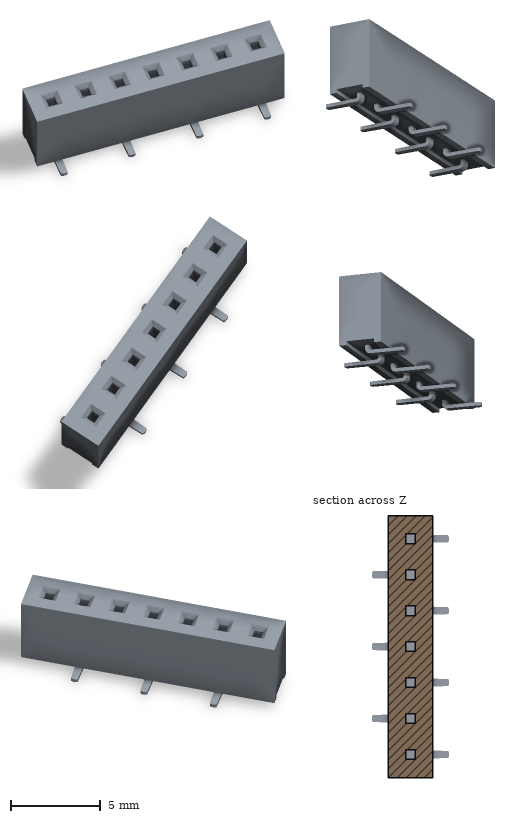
import cadquery as cq

LENGTH = 14.6
BODY_WIDTH = 2.5
TOP_Z = 4.3
BODY_BOTTOM_Z = 0.29
CHANNEL_WIDTH = 1.65
CHANNEL_DEPTH = 0.22
CHANNEL_ROOF_Z = BODY_BOTTOM_Z + CHANNEL_DEPTH

CONTACT_COUNT = 7
PITCH = 2.0

MOUTH_SIZE = 1.0
SOCKET_SIZE = 0.51
FUNNEL_DEPTH = (MOUTH_SIZE - SOCKET_SIZE) / 2
SOCKET_DEPTH = 2.92
SOCKET_FLOOR_Z = TOP_Z - SOCKET_DEPTH

TAIL_SPAN = 4.3
THICKNESS = 0.2
INNER_BEND = 0.09
OUTER_BEND = INNER_BEND + THICKNESS
STEM_WIDTH = 0.44
STEM_PROTRUSION = 0.15
STEM_TOP_Z = SOCKET_FLOOR_Z + STEM_PROTRUSION
TAIL_ROOT_WIDTH = 0.5
TAIL_TIP_WIDTH = 0.4
TIP_BULGE = 0.06


def make_housing():
    """Rectangular bar with a channel along its underside."""
    bar = cq.Workplane("XY").workplane(offset=BODY_BOTTOM_Z).rect(BODY_WIDTH, LENGTH).extrude(
        TOP_Z - BODY_BOTTOM_Z
    )
    channel = cq.Workplane("XY").workplane(offset=BODY_BOTTOM_Z).rect(CHANNEL_WIDTH, LENGTH).extrude(
        CHANNEL_DEPTH
    )
    return bar.cut(channel)


def make_socket():
    """Square blind hole with a funnel mouth."""
    shaft = cq.Workplane("XY").workplane(offset=SOCKET_FLOOR_Z).rect(SOCKET_SIZE, SOCKET_SIZE).extrude(
        SOCKET_DEPTH
    )
    funnel = (
        cq.Workplane("XY")
        .workplane(offset=TOP_Z)
        .rect(MOUTH_SIZE, MOUTH_SIZE)
        .workplane(offset=-FUNNEL_DEPTH)
        .rect(SOCKET_SIZE, SOCKET_SIZE)
        .loft(ruled=True)
    )
    return shaft.union(funnel)


def make_contact():
    """Contact whose tail points towards +X, centred on y = 0.

    The tail narrows towards a tip rounded by a single arc.
    """
    half_thickness = THICKNESS / 2
    tip_x = TAIL_SPAN / 2
    bend_x = half_thickness + INNER_BEND
    strip = (
        cq.Workplane("XZ")
        .moveTo(-half_thickness, CHANNEL_ROOF_Z)
        .lineTo(-half_thickness, OUTER_BEND)
        .radiusArc((bend_x, 0), -OUTER_BEND)
        .lineTo(tip_x, 0)
        .lineTo(tip_x, THICKNESS)
        .lineTo(bend_x, THICKNESS)
        .radiusArc((half_thickness, OUTER_BEND), INNER_BEND)
        .lineTo(half_thickness, CHANNEL_ROOF_Z)
        .close()
        .extrude(TAIL_ROOT_WIDTH / 2, both=True)
    )
    root_y = TAIL_ROOT_WIDTH / 2
    tip_y = TAIL_TIP_WIDTH / 2
    plan = (
        cq.Workplane("XY")
        .moveTo(-half_thickness, -root_y)
        .lineTo(bend_x, -root_y)
        .lineTo(tip_x - TIP_BULGE, -tip_y)
        .threePointArc((tip_x, 0), (tip_x - TIP_BULGE, tip_y))
        .lineTo(bend_x, root_y)
        .lineTo(-half_thickness, root_y)
        .close()
        .extrude(CHANNEL_ROOF_Z)
    )
    stem = (
        cq.Workplane("XY")
        .workplane(offset=CHANNEL_ROOF_Z)
        .rect(THICKNESS, STEM_WIDTH)
        .extrude(STEM_TOP_Z - CHANNEL_ROOF_Z)
    )
    return strip.intersect(plan).union(stem)


socket = make_socket()
right_contact = make_contact()
left_contact = right_contact.rotate((0, 0, 0), (0, 0, 1), 180)

contact_ys = [(index - (CONTACT_COUNT - 1) / 2) * PITCH for index in range(CONTACT_COUNT)]

result = make_housing()
for y in contact_ys:
    result = result.cut(socket.translate((0, y, 0)))

for index, y in enumerate(contact_ys):
    contact = right_contact if index % 2 == 0 else left_contact
    result = result.union(contact.translate((0, y, 0)))